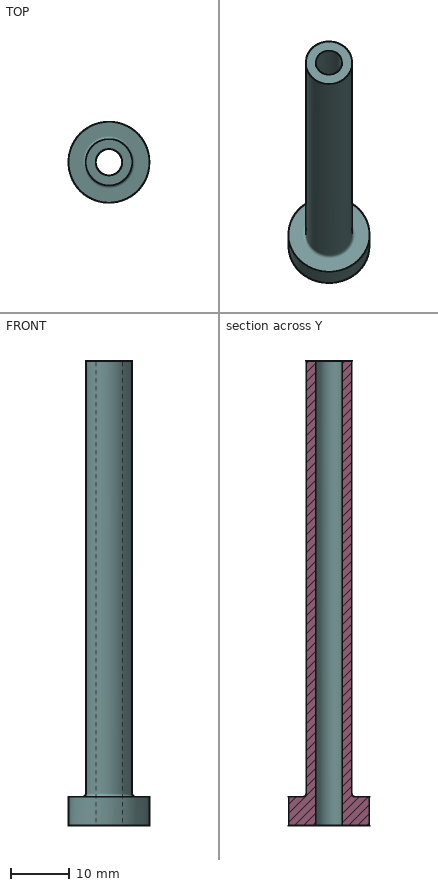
import cadquery as cq

total_length = 80.0
head_diameter = 14.0
head_height = 5.0
shank_diameter = 8.0
bore_diameter = 4.5
neck_fillet_radius = 0.5

head_radius = head_diameter / 2
shank_radius = shank_diameter / 2


def make_sleeve_body():
    """Headed shank with a concave fillet where it meets the head, turned about Z."""
    fillet_top = head_height + neck_fillet_radius
    fillet_outer_radius = shank_radius + neck_fillet_radius
    profile = (
        cq.Workplane("XZ")
        .moveTo(0, 0)
        .lineTo(head_radius, 0)
        .lineTo(head_radius, head_height)
        .lineTo(fillet_outer_radius, head_height)
        .radiusArc((shank_radius, fillet_top), neck_fillet_radius)
        .lineTo(shank_radius, total_length)
        .lineTo(0, total_length)
        .close()
    )
    return profile.revolve(360, (0, 0, 0), (0, 1, 0))


def make_bore():
    """Straight through bore along the axis."""
    return cq.Workplane("XY").circle(bore_diameter / 2).extrude(total_length)


result = make_sleeve_body().cut(make_bore())